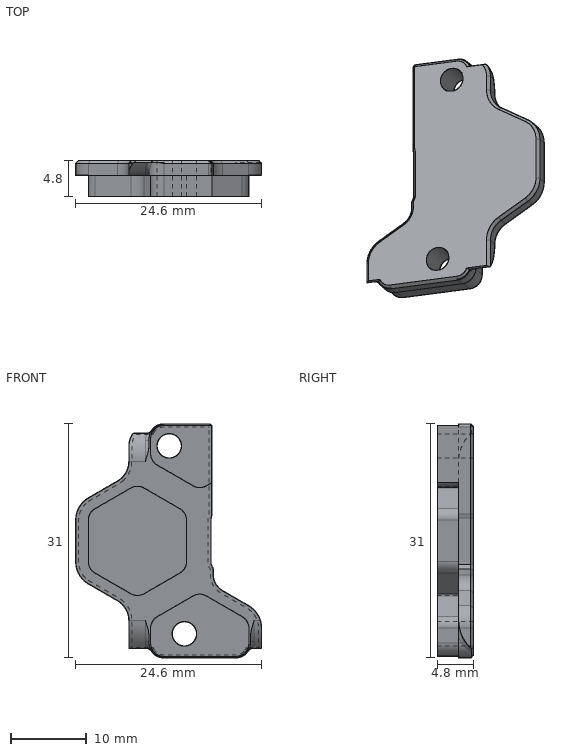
import cadquery as cq
import math

hex_pitch = 16.5
hex_flats = 13.0
hex_corner_radius = 1.75
plate_margin = 1.685

plate_thickness = 2.0
plate_height = 31.0
neck_left_x = -1.15
neck_fillet = 3.0
lower_step_fillet = 2.4
top_right_x = 9.87
top_right_radius = 0.45
waist_right_x = 9.77
waist_top_z = 3.0
waist_bottom_z = -3.1
upper_step_z = 3.55
lower_step_x = 10.05
lower_step_z = -3.7
back_chamfer = 0.4

pad_height = 2.8
pad_inset = 0.2

relief_radius = 5.0
relief_fillet = 0.5
relief_reach = 20.0
relief_width = 60.0
relief_overrun = 1.0

hole_diameter = 3.2
upper_hole = (4.21, 12.58)
lower_hole = (6.22, -12.3)

cos30 = math.cos(math.radians(30))
tan30 = math.tan(math.radians(30))
pad_half = hex_flats / 2
rim_half = pad_half + plate_margin
rim_radius = hex_corner_radius + plate_margin
screw_hex_x = hex_pitch / 2
screw_hex_z = hex_pitch * cos30
plate_top_z = plate_height / 2
pad_top_z = plate_top_z - pad_inset
base_left = screw_hex_x - pad_half - pad_inset
base_right = screw_hex_x + pad_half + pad_inset
rim_corner_z = rim_half * tan30
plate_right_x = screw_hex_x + rim_half
neck_corner_z = rim_half / cos30 + neck_left_x * tan30
step_corner_z = -screw_hex_z + rim_half / cos30 - (lower_step_x - screw_hex_x) * tan30
relief_start_z = neck_corner_z + neck_fillet * tan30


def rounded_prism(corners, y_front, y_back):
    """Extrude a closed outline of (x, z, corner radius) from y_front to y_back."""
    path = None
    count = len(corners)
    for i, (x, z, radius) in enumerate(corners):
        corner = cq.Vector(x, z)
        before = cq.Vector(*corners[i - 1][:2])
        after = cq.Vector(*corners[(i + 1) % count][:2])
        back = (before - corner).normalized()
        ahead = (after - corner).normalized()
        half_angle = back.getAngle(ahead) / 2
        setback = radius / math.tan(half_angle)
        start = corner + back * setback
        if path is None:
            path = cq.Workplane("XZ", origin=(0, y_front, 0)).moveTo(start.x, start.y)
        else:
            path = path.lineTo(start.x, start.y)
        if radius > 0:
            bisector = (back + ahead).normalized()
            middle = corner + bisector * (radius / math.sin(half_angle) - radius)
            end = corner + ahead * setback
            path = path.threePointArc((middle.x, middle.y), (end.x, end.y))
    return path.close().extrude(y_front - y_back)


def make_plate():
    corners = [
        (neck_left_x, plate_top_z, neck_fillet),
        (top_right_x, plate_top_z, top_right_radius),
        (top_right_x, upper_step_z, 0),
        (waist_right_x, waist_top_z, 0),
        (waist_right_x, waist_bottom_z, 0),
        (lower_step_x, lower_step_z, 0),
        (lower_step_x, step_corner_z, lower_step_fillet),
        (plate_right_x, rim_corner_z - screw_hex_z, rim_radius),
        (plate_right_x, -plate_top_z, 0),
        (neck_left_x, -plate_top_z, 0),
        (neck_left_x, -neck_corner_z, neck_fillet),
        (-rim_half, -rim_corner_z, rim_radius),
        (-rim_half, rim_corner_z, rim_radius),
        (neck_left_x, neck_corner_z, neck_fillet),
    ]
    blank = rounded_prism(corners, 0, plate_thickness)
    return blank.faces(">Y").edges().chamfer(back_chamfer)


def relief_point(angle):
    """Point (y, z) on the relief cylinder, with angle 0 where it leaves the plate's front face."""
    return (
        relief_radius * (1 - math.cos(angle)),
        relief_start_z + relief_radius * math.sin(angle),
    )


def relief_angle(y):
    return math.acos(1 - y / relief_radius)


def relief_profile():
    return cq.Workplane("YZ", origin=(-relief_reach, 0, 0))


def make_pad_base(y_back):
    """Full-height plate material left standing around a screw pad, squared off at its inner end."""
    base_radius = hex_corner_radius + pad_inset
    corners = [
        (base_left, plate_top_z, base_radius),
        (base_right, plate_top_z, base_radius),
        (base_right, 0, 0),
        (base_left, 0, 0),
    ]
    return rounded_prism(corners, -2 * relief_overrun, y_back)


def make_relief():
    """Cutter for the +Z end: everything outside the relief cylinder and clear of the pad base."""
    end_y = plate_thickness + relief_overrun
    end_angle = relief_angle(end_y)
    band = (
        relief_profile()
        .moveTo(0, relief_start_z - relief_overrun)
        .lineTo(0, relief_start_z)
        .threePointArc(relief_point(end_angle / 2), relief_point(end_angle))
        .lineTo(end_y, relief_reach)
        .lineTo(-relief_overrun, relief_reach)
        .lineTo(-relief_overrun, relief_start_z - relief_overrun)
        .close()
        .extrude(relief_width)
    )
    cutter = band.cut(make_pad_base(end_y + relief_overrun))
    for wall_x in (base_left, base_right):
        foot_edges = cq.selectors.BoxSelector(
            (wall_x - hex_corner_radius, -relief_overrun / 2, 0),
            (wall_x + hex_corner_radius, end_y + relief_overrun / 2, plate_top_z),
            boundingbox=True,
        )
        cutter = cutter.edges(foot_edges).fillet(relief_fillet)
    return cutter


def make_relief_chamfer():
    """Cutter for the back edge of the relief and of the pad base at the +Z end."""
    back_angle = relief_angle(plate_thickness)
    start_y, start_z = relief_point(back_angle - back_chamfer / relief_radius)
    end_z = relief_point(back_angle)[1] - back_chamfer
    wedge = (
        relief_profile()
        .moveTo(start_y, start_z)
        .lineTo(plate_thickness, end_z)
        .lineTo(plate_thickness, relief_reach)
        .lineTo(start_y, relief_reach)
        .close()
        .extrude(relief_width)
    )
    base = make_pad_base(plate_thickness).faces(">Y").edges().chamfer(back_chamfer)
    return wedge.cut(base)


def make_pads():
    """Full hexagon in the middle, and a screw pad clipped from a hexagon at each end."""
    hex_corner_z = pad_half * tan30
    hex_apex_z = pad_half / cos30
    left_x = screw_hex_x - pad_half
    right_x = screw_hex_x + pad_half
    shoulder_z = screw_hex_z - hex_corner_z
    tip_z = screw_hex_z - hex_apex_z
    clipped_tip_z = tip_z + (top_right_x - screw_hex_x) * tan30

    middle = [
        (-pad_half, hex_corner_z),
        (0, hex_apex_z),
        (pad_half, hex_corner_z),
        (pad_half, -hex_corner_z),
        (0, -hex_apex_z),
        (-pad_half, -hex_corner_z),
    ]
    lower = [
        (left_x, -pad_top_z),
        (left_x, -shoulder_z),
        (screw_hex_x, -tip_z),
        (right_x, -shoulder_z),
        (right_x, -pad_top_z),
    ]
    upper = [
        (left_x, pad_top_z, hex_corner_radius),
        (top_right_x, pad_top_z, 0),
        (top_right_x, clipped_tip_z, 0),
        (screw_hex_x, tip_z, hex_corner_radius),
        (left_x, shoulder_z, hex_corner_radius),
    ]
    outlines = [upper]
    for points in (middle, lower):
        outlines.append([(x, z, hex_corner_radius) for x, z in points])
    return [rounded_prism(outline, -pad_height, 0) for outline in outlines]


def make_screw_holes():
    drill = cq.Workplane("XZ", origin=(0, plate_thickness, 0))
    return (
        drill.pushPoints([upper_hole, lower_hole])
        .circle(hole_diameter / 2)
        .extrude(plate_thickness + pad_height)
    )


plate = make_plate()
for cutter in (make_relief(), make_relief_chamfer()):
    plate = plate.cut(cutter).cut(cutter.mirror("XY"))

result = plate
for pad in make_pads():
    result = result.union(pad)
result = result.cut(make_screw_holes())